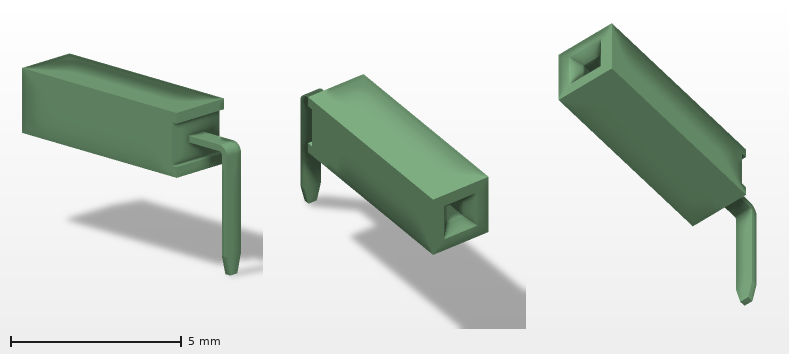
import cadquery as cq

housing_length = 6.35
housing_side = 2.0
foot_height = 0.33
foot_length = 0.2

socket_mouth = 1.2
socket_side = 0.6
funnel_depth = 0.3
socket_depth = 4.0

pin_width = 0.6
pin_thickness = 0.2
bend_inner_radius = 0.1
overall_length = 7.72
overall_height = 4.9
tip_width = 0.3
tip_length = 0.6

recess_depth = 0.05

pin_top = pin_thickness / 2
pin_bottom = housing_side / 2 - overall_height
bend_outer_radius = bend_inner_radius + pin_thickness
tail_front = overall_length - pin_thickness
recess_floor_width = pin_width - 2 * recess_depth


def make_housing():
    """Block with a slot across its back face that leaves a foot at top and bottom."""
    block = cq.Workplane("XY").box(housing_length, housing_side, housing_side, centered=(False, True, True))
    slot_height = housing_side - 2 * foot_height
    slot = (
        cq.Workplane("XY")
        .box(foot_length, housing_side, slot_height, centered=(False, True, True))
        .translate((housing_length - foot_length, 0, 0))
    )
    return block.cut(slot)


def make_socket():
    """Square blind hole together with its tapered mouth."""
    funnel = (
        cq.Workplane("YZ")
        .rect(socket_mouth, socket_mouth)
        .workplane(offset=funnel_depth)
        .rect(socket_side, socket_side)
        .loft(ruled=True)
    )
    hole = cq.Workplane("YZ").rect(socket_side, socket_side).extrude(socket_depth)
    return funnel.union(hole)


def make_bent_strip():
    """Strip along +X that turns down to -Z with a concentric bend."""
    strip = (
        cq.Workplane("XZ")
        .moveTo(socket_depth, -pin_top)
        .lineTo(socket_depth, pin_top)
        .lineTo(overall_length, pin_top)
        .lineTo(overall_length, pin_bottom)
        .lineTo(tail_front, pin_bottom)
        .lineTo(tail_front, -pin_top)
        .close()
        .extrude(pin_width / 2, both=True)
    )
    outer_corner = cq.selectors.NearestToPointSelector((overall_length, 0, pin_top))
    inner_corner = cq.selectors.NearestToPointSelector((tail_front, 0, -pin_top))
    strip = strip.edges(outer_corner).fillet(bend_outer_radius)
    return strip.edges(inner_corner).fillet(bend_inner_radius)


def make_tip_corner(side):
    """Wedge to remove from one side of the tail; side is 1 or -1 along Y."""
    edge = side * pin_width / 2
    return (
        cq.Workplane("YZ", origin=(tail_front, 0, 0))
        .moveTo(edge, pin_bottom + tip_length)
        .lineTo(edge, pin_bottom)
        .lineTo(side * tip_width / 2, pin_bottom)
        .close()
        .extrude(pin_thickness)
    )


def make_end_recess():
    """Trapezoid pocket to remove from the pin end facing the socket mouth."""
    recess_floor = socket_depth + recess_depth
    return (
        cq.Workplane("XY", origin=(0, 0, -pin_top))
        .moveTo(socket_depth, pin_width / 2)
        .lineTo(recess_floor, recess_floor_width / 2)
        .lineTo(recess_floor, -recess_floor_width / 2)
        .lineTo(socket_depth, -pin_width / 2)
        .close()
        .extrude(pin_thickness)
    )


def make_pin():
    """Bent strip with a tapered tail tip."""
    pin = make_bent_strip()
    for side in (1, -1):
        pin = pin.cut(make_tip_corner(side))
    return pin


result = make_housing().cut(make_socket()).union(make_pin()).cut(make_end_recess())